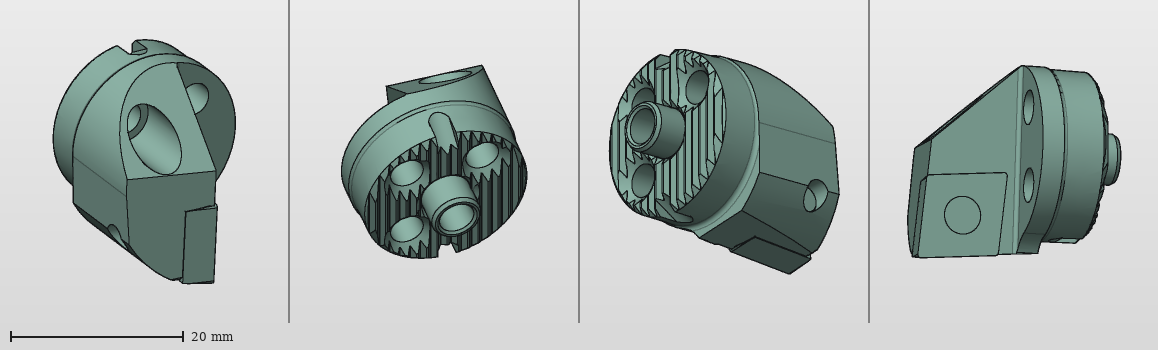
import cadquery as cq
import math


flange_r = 10.25
neck_front_r = 9.93
neck_back_r = 10.03
neck_end_x = 5.25
relief_r = 0.56
rim_chamfer = 0.8
disc_end_x = 8.31
head_reach = 40.0

flat_end_z = -6.03
belly_r = 14.0
belly_end_z = -13.4
toe_y = 0.08
toe_z = -11.65
gullet_r = 5.0

tooth_pitch = 1.25
tooth_depth = 0.8
tooth_angle = 60.0
root_flat = 0.1

slope_start_x = 8.11
slope_angle = 40.7

bolt_offset = 4.6
bolt_d = 4.0
bolt_sink_tip_r = 3.25
access_d = 6.0
access_floor_x = disc_end_x

notch_width = 2.5
notch_floor_r = 2.0
notch_end_x = 4.49
notch_angle = 30.0
notch_height = 4.0

pin_d = 5.98
pin_tip_x = -3.46
pin_seat_x = 6.0
pin_tip_r = 2.7
pin_chamfer_length = 0.5
pin_bore_d = 4.2
pin_bore_mouth_r = 2.4
pin_bore_depth = 6.0
drill_angle = 118.0
pin_sink_floor_d = 6.1
pin_sink_tip_r = 3.87

inscribed_d = 9.65
corner_angle = 80.0
insert_thickness = 3.97
clearance_angle = 7.0
nose_r = 0.4
insert_hole_d = 4.4
lead_angle = 5.0
tilt_angle = 6.0
sharp_corner = cq.Vector(20.38, 0, -13.04)

flank_gap = 0.11
corner_cut = 1.4
rake_wall_drop = 0.3
rake_fillet = 0.5

screw_d = 3.3
screw_end_depth = 8.85
screw_end_chamfer = 0.12


def direction(degrees):
    """Unit vector in a plane, measured from its first axis."""
    return math.cos(math.radians(degrees)), math.sin(math.radians(degrees))


tilt_cos, tilt_sin = direction(tilt_angle)
rake_normal = cq.Vector(0, tilt_cos, -tilt_sin)
rake_up = cq.Vector(0, tilt_sin, tilt_cos)
axis_x = cq.Vector(1, 0, 0)

side_edge_angle = 90 + lead_angle
bottom_edge_angle = side_edge_angle + corner_angle
diagonal_angle = side_edge_angle + corner_angle / 2


def rake_vector(degrees):
    """Direction lying in the rake plane, measured from +X towards rake_up."""
    along, up = direction(degrees)
    return axis_x * along + rake_up * up


edge_length = inscribed_d / math.sin(math.radians(corner_angle))
half_diagonal = edge_length * math.cos(math.radians(corner_angle / 2))
insert_centre = sharp_corner + rake_vector(diagonal_angle) * half_diagonal


def rake_plane(origin):
    """Plane on the insert axis; its normal points down from the rake face into the head."""
    return cq.Plane(origin=origin.toTuple(), xDir=(1, 0, 0), normal=(rake_normal * -1).toTuple())


def space_beyond(point, normal):
    """Large block that starts at a plane and lies on the side its normal points to."""
    plane = cq.Plane(origin=point.toTuple(), normal=normal.toTuple())
    return cq.Workplane(plane).rect(4 * head_reach, 4 * head_reach).extrude(2 * head_reach)


def axial_cylinder(start_x, end_x, radius, y=0.0, z=0.0):
    return cq.Workplane("YZ", origin=(start_x, y, z)).circle(radius).extrude(end_x - start_x)


def countersink(mouth_r, hole_r, y=0.0, z=0.0):
    """45 degree cone that opens at the tooth tips."""
    depth = mouth_r - hole_r
    points = [(0, 0), (0, mouth_r), (depth, hole_r), (depth, 0)]
    cone = cq.Workplane("XY").polyline(points).close().revolve(360, (0, 0, 0), (1, 0, 0))
    return cone.translate((0, y, z))


def make_insert_blank():
    half_width = half_diagonal * math.tan(math.radians(corner_angle / 2))
    corner_points = [(half_diagonal, 0), (0, half_width), (-half_diagonal, 0), (0, -half_width)]
    plane = cq.Plane(
        origin=insert_centre.toTuple(),
        xDir=(rake_vector(diagonal_angle) * -1).toTuple(),
        normal=(rake_normal * -1).toTuple(),
    )
    outline = cq.Sketch().polygon(corner_points + corner_points[:1]).vertices().fillet(nose_r)
    return cq.Workplane(plane).placeSketch(outline).extrude(insert_thickness, taper=clearance_angle)


def make_screw():
    on_axis = cq.Workplane(rake_plane(insert_centre))
    shank = on_axis.circle(screw_d / 2).extrude(screw_end_depth)
    shank = shank.faces("<Y").chamfer(screw_end_chamfer)
    screw_head = on_axis.circle(insert_hole_d / 2).extrude(insert_thickness)
    return screw_head.union(shank)


def make_insert(blank):
    hole = cq.Workplane(rake_plane(insert_centre)).circle(insert_hole_d / 2).extrude(insert_thickness)
    return blank.cut(hole)


def make_neck():
    points = [
        (0, 0),
        (0, neck_front_r - rim_chamfer),
        (rim_chamfer, neck_front_r),
        (neck_end_x, neck_back_r),
        (neck_end_x, 0),
    ]
    return cq.Workplane("XY").polyline(points).close().revolve(360, (0, 0, 0), (1, 0, 0))


def make_cutting_side():
    """Prism along X: flange circle, front flat, rounded belly, toe and concave gullet."""
    gullet_centre_r = flange_r + gullet_r
    toe_r = math.hypot(toe_y, toe_z)
    toe_angle = math.atan2(toe_z, toe_y)
    cos_turn = (gullet_centre_r**2 + toe_r**2 - gullet_r**2) / (2 * gullet_centre_r * toe_r)
    centre_angle = math.degrees(toe_angle + math.acos(cos_turn))
    centre_y, centre_z = (gullet_centre_r * part for part in direction(centre_angle))
    gullet_start = tuple(flange_r * part for part in direction(centre_angle))
    toe_side_angle = math.degrees(math.atan2(toe_z - centre_z, toe_y - centre_y)) % 360
    start_side_angle = (centre_angle + 180) % 360
    mid_y, mid_z = direction((toe_side_angle + start_side_angle) / 2)
    gullet_mid = (centre_y + gullet_r * mid_y, centre_z + gullet_r * mid_z)
    return (
        cq.Workplane("YZ", origin=(neck_end_x, 0, 0))
        .moveTo(-flange_r, 0)
        .lineTo(-flange_r, flat_end_z)
        .radiusArc((toe_y, belly_end_z), -belly_r)
        .lineTo(toe_y, toe_z)
        .threePointArc(gullet_mid, gullet_start)
        .threePointArc((0, flange_r), (-flange_r, 0))
        .close()
        .extrude(head_reach)
    )


def make_relief():
    """Ring that rounds the step from the neck up to the flange and cutting side."""
    outer_r = 2 * flange_r
    arc_end = (neck_end_x + relief_r, neck_back_r + relief_r)
    bend = relief_r * (1 - math.sqrt(0.5))
    return (
        cq.Workplane("XY")
        .moveTo(neck_end_x, neck_back_r)
        .threePointArc((arc_end[0] - bend, neck_back_r + bend), arc_end)
        .lineTo(arc_end[0], outer_r)
        .lineTo(neck_end_x, outer_r)
        .close()
        .revolve(360, (0, 0, 0), (1, 0, 0))
    )


def make_serration_grooves():
    tip_half = root_flat / 2 + tooth_depth * math.tan(math.radians(tooth_angle / 2))
    points = [(0, -tip_half), (tooth_depth, -root_flat / 2), (tooth_depth, root_flat / 2), (0, tip_half)]
    groove = cq.Workplane("XY", origin=(0, 0, -2 * flange_r)).polyline(points).close().extrude(4 * flange_r)
    pairs = math.ceil(flange_r / tooth_pitch)
    solids = []
    for index in range(-pairs, pairs):
        solids.append(groove.translate((0, (index + 0.5) * tooth_pitch, 0)).val())
    return cq.Workplane(cq.Compound.makeCompound(solids))


def make_notch():
    """Round-bottomed groove that starts on top of the neck and sinks towards the serrations."""
    half_width = notch_width / 2
    floor_rise = notch_floor_r - math.sqrt(notch_floor_r**2 - half_width**2)
    path_cos, path_sin = direction(notch_angle)
    plane = cq.Plane(origin=(notch_end_x, 0, neck_back_r), xDir=(0, -1, 0), normal=(-path_cos, 0, -path_sin))
    return (
        cq.Workplane(plane)
        .moveTo(-half_width, floor_rise)
        .threePointArc((0, 0), (half_width, floor_rise))
        .lineTo(half_width, notch_height)
        .lineTo(-half_width, notch_height)
        .close()
        .extrude(2 * notch_end_x)
    )


def make_rake_notch():
    """Chip space beyond the disc, with a rounded inner corner."""
    size = 2 * head_reach
    block = cq.Workplane("XY").box(size, size, size, centered=(False, True, False))
    block = block.edges("|Y and <X and <Z").fillet(rake_fillet)
    block = block.rotate((0, 0, 0), (1, 0, 0), -90 - tilt_angle)
    wall_point = sharp_corner - rake_normal * rake_wall_drop
    return block.translate((disc_end_x, wall_point.y, wall_point.z))


def flank_normal(degrees):
    """Outward normal of a face parallel to an insert flank."""
    clearance_cos, clearance_sin = direction(clearance_angle)
    return rake_vector(degrees) * clearance_cos - rake_normal * clearance_sin


def trim_outer_faces(head):
    """Cut the sloping back, the two faces along the insert flanks and the corner under its nose."""
    slope_cos, slope_sin = direction(slope_angle)
    head = head.cut(space_beyond(cq.Vector(slope_start_x, 0, flange_r), cq.Vector(slope_sin, 0, slope_cos)))
    for angle in (side_edge_angle - 90, bottom_edge_angle + 90):
        normal = flank_normal(angle)
        head = head.cut(space_beyond(sharp_corner - normal * flank_gap, normal))
    diagonal = rake_vector(diagonal_angle)
    return head.cut(space_beyond(sharp_corner + diagonal * corner_cut, diagonal * -1))


def drill_clamping_holes(head):
    """Three countersunk through holes; the one under the slope has a wider access bore."""
    for y, z in ((bolt_offset, bolt_offset), (bolt_offset, -bolt_offset), (-bolt_offset, bolt_offset)):
        head = head.cut(axial_cylinder(0, head_reach, bolt_d / 2, y, z))
        head = head.cut(countersink(bolt_sink_tip_r, bolt_d / 2, y, z))
    return head.cut(axial_cylinder(access_floor_x, head_reach, access_d / 2, -bolt_offset, bolt_offset))


def make_head(seated_insert):
    head = make_neck().union(make_cutting_side().cut(make_relief()))
    head = head.cut(make_rake_notch())
    head = trim_outer_faces(head)

    head = head.cut(make_serration_grooves())
    notch = make_notch()
    head = head.cut(notch).cut(notch.mirror("XY"))

    head = drill_clamping_holes(head)
    head = head.cut(axial_cylinder(0, pin_seat_x, pin_d / 2))
    head = head.cut(countersink(pin_sink_tip_r, pin_sink_floor_d / 2))

    screw_hole = cq.Workplane(rake_plane(insert_centre)).circle(screw_d / 2).extrude(head_reach)
    return head.cut(seated_insert).cut(screw_hole)


def make_pin():
    pin_r = pin_d / 2
    bore_r = pin_bore_d / 2
    bore_end_x = pin_tip_x + pin_bore_depth
    drill_depth = bore_r / math.tan(math.radians(drill_angle / 2))
    points = [
        (bore_end_x + drill_depth, 0),
        (bore_end_x, bore_r),
        (pin_tip_x + pin_bore_mouth_r - bore_r, bore_r),
        (pin_tip_x, pin_bore_mouth_r),
        (pin_tip_x, pin_tip_r),
        (pin_tip_x + pin_chamfer_length, pin_r),
        (pin_seat_x, pin_r),
        (pin_seat_x, 0),
    ]
    return cq.Workplane("XY").polyline(points).close().revolve(360, (0, 0, 0), (1, 0, 0))


insert_blank = make_insert_blank()
screw = make_screw()
head = make_head(insert_blank)
insert = make_insert(insert_blank)
pin = make_pin()

bodies = (head, pin, insert, screw)
result = cq.Compound.makeCompound([body.solids().val() for body in bodies])